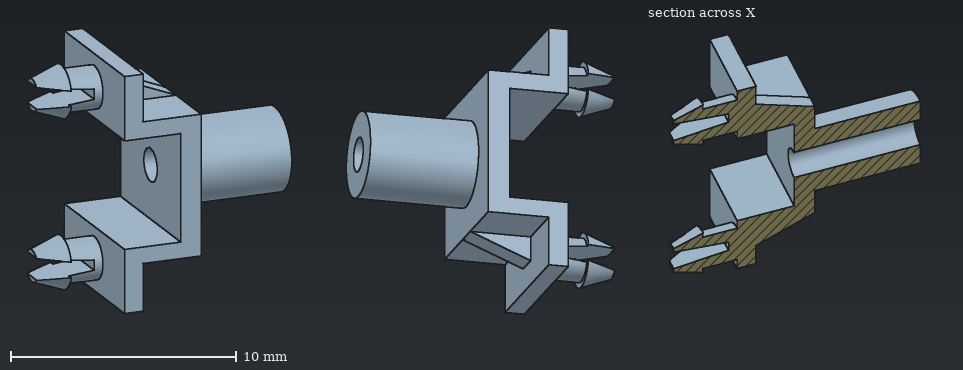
import cadquery as cq

width = 7.0
height = 11.1
depth = 3.7
overall_depth = 11.7
flange_thickness = 0.9
web_thickness = 1.0
channel_outer_height = 6.65
channel_inner_height = 5.08

rib_width = 1.22
rib_reach = 1.11

post_radius = 1.95
post_length = 5.0
bore_radius = 0.77

pin_spacing = 8.0
pin_length = overall_depth - depth - post_length
shaft_radius = 1.0
shaft_length = 1.6
barb_radius = 1.25
tip_radius = 0.75
slot_start = 0.41
slot_start_width = 0.48
slot_tip_width = 1.01


def box_between(x_size, y_front, y_back, z_size):
    """Box centred on X and Z, spanning y_front to y_back."""
    y_middle = (y_front + y_back) / 2
    return cq.Workplane("XY", origin=(0, y_middle, 0)).box(x_size, y_back - y_front, z_size)


def make_bracket():
    flanges = box_between(width, 0, flange_thickness, height)
    channel = box_between(width, 0, depth, channel_outer_height)
    opening = box_between(width, 0, depth - web_thickness, channel_inner_height)
    return flanges.union(channel).cut(opening)


def make_rib():
    """Triangular gusset on the upper channel wall."""
    base_z = channel_outer_height / 2
    return (
        cq.Workplane("YZ")
        .polyline([
            (flange_thickness, base_z),
            (depth, base_z),
            (flange_thickness, base_z + rib_reach),
        ])
        .close()
        .extrude(rib_width / 2, both=True)
    )


def make_pin():
    """Upper barbed pin, split by a slot that widens toward its tip."""
    body = (
        cq.Workplane("XY")
        .polyline([
            (0, 0),
            (shaft_radius, 0),
            (shaft_radius, -shaft_length),
            (barb_radius, -shaft_length),
            (tip_radius, -pin_length),
            (0, -pin_length),
        ])
        .close()
        .revolve(360, (0, 0, 0), (0, 1, 0))
    )
    slot = (
        cq.Workplane("YZ")
        .polyline([
            (-slot_start, slot_start_width / 2),
            (-pin_length, slot_tip_width / 2),
            (-pin_length, -slot_tip_width / 2),
            (-slot_start, -slot_start_width / 2),
        ])
        .close()
        .extrude(barb_radius, both=True)
    )
    return body.cut(slot).translate((0, 0, pin_spacing / 2))


def rod(radius, y_start, length):
    """Cylinder on the Y axis, running toward +Y."""
    return cq.Workplane("XZ", origin=(0, y_start, 0)).circle(radius).extrude(-length)


result = make_bracket().union(rod(post_radius, depth, post_length))
for upper_feature in (make_rib(), make_pin()):
    result = result.union(upper_feature).union(upper_feature.mirror("XY"))
result = result.cut(rod(bore_radius, 0, depth + post_length))